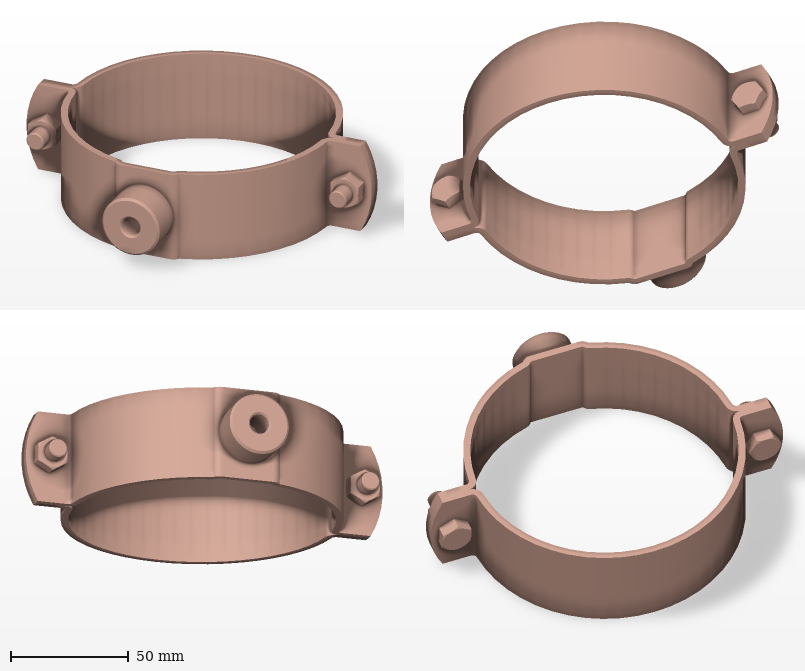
import cadquery as cq
import math


strap_width = 40.0
strap_thickness = 3.0
ring_outer_radius = 60.0
ring_inner_radius = ring_outer_radius - strap_thickness

overall_length = 160.0
ear_tip = overall_length / 2
ear_end_radius = 40.0
ear_bend_radius = 2.0

pad_half_length = 11.4
pad_outer_distance = 60.2
pad_bend_radius = 1.0

boss_diameter = 26.5
boss_length = 16.0
boss_chamfer = 1.0
boss_bore_diameter = 8.5
boss_bore_chamfer = 0.8

bolt_position = 70.0
bolt_diameter = 8.0
bolt_length = 20.0
bolt_tip_chamfer = 0.5
hex_sides = 6
hex_across_flats = 13.0
head_height = 5.3
nut_height = 6.5
hex_chamfer_angle = 30.0
left_head_turn = 0.0
right_head_turn = 25.5
nut_turn = 30.0


def polar(centre, radius, angle):
    """Point at the given radius and angle (degrees) from a centre."""
    turn = math.radians(angle)
    return (centre[0] + radius * math.cos(turn), centre[1] + radius * math.sin(turn))


def follow_arc(outline, centre, radius, start, end):
    """Continue an outline, already at the start angle, along an arc to the end angle."""
    middle = polar(centre, radius, (start + end) / 2)
    return outline.threePointArc(middle, polar(centre, radius, end))


def ear_bend():
    """Angle where the ring starts, and the bend from the ear into the ring.

    A bend is its centre, its radius on the pipe side, its radius on the other side,
    and its start and end angles.
    """
    bend_height = strap_thickness + ear_bend_radius
    bend_distance = math.sqrt((ring_outer_radius + ear_bend_radius) ** 2 - bend_height**2)
    ring_start = math.degrees(math.atan2(bend_height, bend_distance))
    centre = (bend_distance, bend_height)
    return ring_start, (centre, bend_height, ear_bend_radius, 270, 180 + ring_start)


def ring_bend(start, end):
    """Stretch of the ring between two angles."""
    return ((0, 0), ring_inner_radius, ring_outer_radius, start, end)


def pad_bends():
    """Angle where the ring ends, and the two opposite bends from there out to the flat pad."""
    large_radius = pad_bend_radius + strap_thickness
    pad_centre = (pad_half_length, pad_outer_distance - large_radius)
    ring_centre_distance = ring_outer_radius + pad_bend_radius
    pad_centre_distance = math.hypot(*pad_centre)
    centre_spacing = pad_bend_radius + large_radius
    cosine = (ring_centre_distance**2 + pad_centre_distance**2 - centre_spacing**2) / (
        2 * ring_centre_distance * pad_centre_distance
    )
    pad_centre_angle = math.degrees(math.atan2(pad_centre[1], pad_centre[0]))
    ring_end = pad_centre_angle - math.degrees(math.acos(cosine))
    ring_centre = polar((0, 0), ring_centre_distance, ring_end)
    seam_angle = math.degrees(
        math.atan2(ring_centre[1] - pad_centre[1], ring_centre[0] - pad_centre[0])
    )
    ring_side = (ring_centre, large_radius, pad_bend_radius, 180 + ring_end, 180 + seam_angle)
    pad_side = (pad_centre, pad_bend_radius, large_radius, seam_angle, 90)
    return ring_end, ring_side, pad_side


def strap_half(bends, middle_distance, flat_half_length=0):
    """Strap half on the +Y side, drilled for the bolts.

    The bends run from the +X ear toward X = 0, where the outside face is at middle_distance.
    A flat, if any, covers the last stretch before X = 0.
    """
    ear_centre, ear_inside, _, ear_start, _ = bends[0]
    outline = cq.Workplane("XY").moveTo(ear_tip, 0).lineTo(*polar(ear_centre, ear_inside, ear_start))
    for centre, inside, _, start, end in bends:
        outline = follow_arc(outline, centre, inside, start, end)
    if flat_half_length > 0:
        outline = outline.lineTo(0, middle_distance - strap_thickness).lineTo(0, middle_distance)
    outline = outline.lineTo(flat_half_length, middle_distance)
    for centre, _, outside, start, end in reversed(bends):
        outline = follow_arc(outline, centre, outside, end, start)
    outline = outline.lineTo(ear_tip, strap_thickness).close()
    quarter = outline.extrude(strap_width / 2, both=True)
    half = quarter.union(quarter.mirror("YZ")).clean()
    return half.intersect(ear_envelope()).cut(bolt_holes())


def ear_envelope():
    """Side shape of the clamp with both ear ends rounded."""
    half_width = strap_width / 2
    sagitta = ear_end_radius - math.sqrt(ear_end_radius**2 - half_width**2)
    corner = ear_tip - sagitta
    return (
        cq.Workplane("XZ")
        .moveTo(-corner, -half_width)
        .lineTo(corner, -half_width)
        .threePointArc((ear_tip, 0), (corner, half_width))
        .lineTo(-corner, half_width)
        .threePointArc((-ear_tip, 0), (-corner, -half_width))
        .close()
        .extrude(overall_length, both=True)
    )


def bolt_holes():
    """Cutter for the hole through each ear, a fit for the bolt shank."""
    return (
        cq.Workplane("XZ")
        .pushPoints([(-bolt_position, 0), (bolt_position, 0)])
        .circle(bolt_diameter / 2)
        .extrude(2 * strap_thickness, both=True)
    )


def hexagon(height, turn, chamfer_bottom):
    """Hexagonal prism up the Z axis with its corners turned down to the flats.

    The top end is always turned, the bottom end only if chamfer_bottom is set.
    """
    flat_radius = hex_across_flats / 2
    corner_radius = flat_radius / math.cos(math.pi / hex_sides)
    drop = (corner_radius - flat_radius) * math.tan(math.radians(hex_chamfer_angle))
    prism = (
        cq.Workplane("XY")
        .polygon(hex_sides, 2 * corner_radius)
        .extrude(height)
        .rotate((0, 0, 0), (0, 0, 1), turn)
    )
    turned = cq.Workplane("XY").circle(corner_radius).extrude(height)
    turned = turned.faces(">Z").chamfer(drop, corner_radius - flat_radius)
    if chamfer_bottom:
        turned = turned.faces("<Z").chamfer(drop, corner_radius - flat_radius)
    return prism.intersect(turned)


def make_bolt(x, turn):
    """Bolt with its head on the +Y ear and its tip toward -Y."""
    shank = (
        cq.Workplane("XY").circle(bolt_diameter / 2).extrude(-bolt_length)
        .faces("<Z").chamfer(bolt_tip_chamfer)
    )
    bolt = hexagon(head_height, turn, chamfer_bottom=False).union(shank)
    return bolt.rotate((0, 0, 0), (1, 0, 0), -90).translate((x, strap_thickness, 0))


def make_nut(x):
    """Hexagon nut against the -Y ear."""
    nut = hexagon(nut_height, nut_turn, chamfer_bottom=True)
    nut = nut.cut(cq.Workplane("XY").circle(bolt_diameter / 2).extrude(nut_height))
    return nut.rotate((0, 0, 0), (1, 0, 0), 90).translate((x, -strap_thickness, 0))


def make_boss():
    """Round boss on the pad, bored through to the strap."""
    boss = (
        cq.Workplane("XZ", origin=(0, -pad_outer_distance, 0))
        .circle(boss_diameter / 2)
        .extrude(boss_length)
        .faces("<Y or >Y").chamfer(boss_chamfer)
    )
    boss = boss.faces("<Y").workplane().hole(boss_bore_diameter)
    bore_mouth = cq.selectors.RadiusNthSelector(0)
    return boss.faces("<Y").edges(bore_mouth).chamfer(boss_bore_chamfer)


ring_start, ear = ear_bend()

upper_bends = [ear, ring_bend(ring_start, 90)]
upper_strap = strap_half(upper_bends, ring_outer_radius)

pad_start, ring_side_bend, pad_side_bend = pad_bends()
lower_bends = [ear, ring_bend(ring_start, pad_start), ring_side_bend, pad_side_bend]
lower_strap = strap_half(lower_bends, pad_outer_distance, pad_half_length).mirror("XZ")

boss = make_boss()

bolts = []
nuts = []
for x, head_turn in [(-bolt_position, left_head_turn), (bolt_position, right_head_turn)]:
    bolts.append(make_bolt(x, head_turn).val())
    nuts.append(make_nut(x).val())

result = cq.Compound.makeCompound(
    [upper_strap.val(), lower_strap.val(), boss.val(), *bolts, *nuts]
)